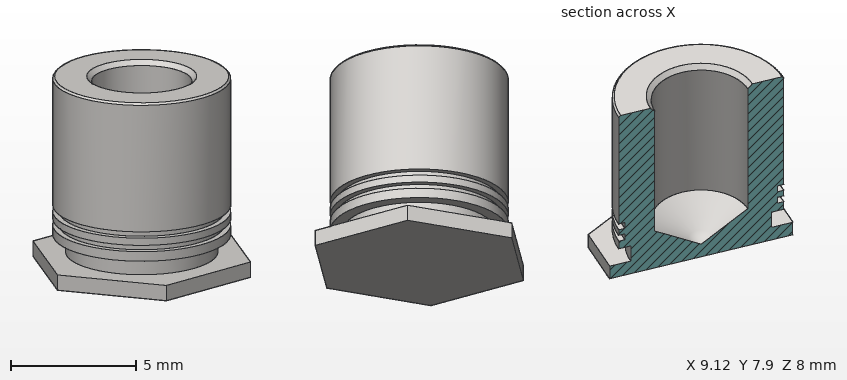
import cadquery as cq
import math

hex_across_corners = 9.12
hex_thickness = 0.65

total_height = 8.0
barrel_diameter = 7.12
neck_diameter = 6.1
groove_diameter = 6.61
neck_height = 0.73
lower_ring_height = 0.4
upper_ring_height = 0.3
groove_height = 0.26
barrel_chamfer = 0.08

bore_diameter = 4.0
bore_mouth_diameter = 4.4
drill_point_angle = 118.0
drill_tip_z = hex_thickness


def cylinder(diameter, bottom, height):
    return cq.Workplane("XY").workplane(offset=bottom).circle(diameter / 2).extrude(height)


def make_shank():
    """Stack the neck, rings and grooves, then finish with the chamfered barrel."""
    sections = [
        (neck_diameter, neck_height),
        (barrel_diameter, lower_ring_height),
        (groove_diameter, groove_height),
        (barrel_diameter, upper_ring_height),
        (groove_diameter, groove_height),
    ]
    bottom = hex_thickness
    shank = None
    for diameter, height in sections:
        section = cylinder(diameter, bottom, height)
        shank = section if shank is None else shank.union(section)
        bottom += height
    barrel = cylinder(barrel_diameter, bottom, total_height - bottom)
    return shank.union(barrel.faces(">Z").edges().chamfer(barrel_chamfer))


def make_bore():
    """Revolve the bore, with its conical bottom and 45 degree mouth chamfer."""
    bore_radius = bore_diameter / 2
    mouth_radius = bore_mouth_diameter / 2
    mouth_depth = mouth_radius - bore_radius
    point_height = bore_radius / math.tan(math.radians(drill_point_angle / 2))
    return (
        cq.Workplane("XZ")
        .moveTo(0, drill_tip_z)
        .lineTo(bore_radius, drill_tip_z + point_height)
        .lineTo(bore_radius, total_height - mouth_depth)
        .lineTo(mouth_radius, total_height)
        .lineTo(0, total_height)
        .close()
        .revolve(360, (0, 0), (0, 1))
    )


head = cq.Workplane("XY").polygon(6, hex_across_corners).extrude(hex_thickness)
result = head.union(make_shank()).cut(make_bore())